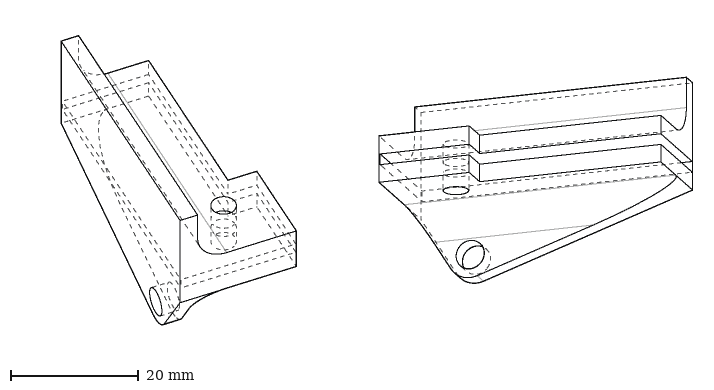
import cadquery as cq
import math

length = 45.0
depth = 20.0
height = 29.05
plate_thickness = 3.0

flange_top = -10.0
flange_bottom = -17.65
flange_depth = 15.05
tab_length = 15.0
fillet_radius = 5.0

slot_top = -13.0
slot_width = 1.75
slot_skin = 0.22

pivot_x = 35.8
pivot_diameter = 4.65
corner_radius = 3.8
pivot_z = corner_radius - height
bolt_x = 35.0
bolt_y = 12.0
bolt_diameter = 4.0


def tangent_point(corner_x, side):
    """Point where the edge from a plate corner touches the rounded lower corner.

    side is -1 for the left corner and 1 for the right corner.
    """
    dx = corner_x - pivot_x
    dz = flange_bottom - pivot_z
    angle = math.atan2(dz, dx) - side * math.acos(corner_radius / math.hypot(dx, dz))
    return (
        pivot_x + corner_radius * math.cos(angle),
        pivot_z + corner_radius * math.sin(angle),
    )


def make_plate(thickness):
    return (
        cq.Workplane("XZ")
        .moveTo(0, 0)
        .lineTo(0, flange_bottom)
        .lineTo(*tangent_point(0, -1))
        .threePointArc((pivot_x, -height), tangent_point(length, 1))
        .lineTo(length, flange_bottom)
        .lineTo(length, 0)
        .close()
        .extrude(-thickness)
    )


def make_flange():
    tab_start = length - tab_length
    return (
        cq.Workplane("XY", origin=(0, 0, flange_bottom))
        .polyline([
            (0, 0),
            (length, 0),
            (length, depth),
            (tab_start, depth),
            (tab_start, flange_depth),
            (0, flange_depth),
        ])
        .close()
        .extrude(flange_top - flange_bottom)
    )


def make_fillet(flange_face, direction):
    """Concave web between plate and flange; direction is 1 above the flange, -1 below."""
    far_y = plate_thickness + fillet_radius
    far_z = flange_face + direction * fillet_radius
    bend = fillet_radius * math.sqrt(0.5)
    return (
        cq.Workplane("YZ")
        .moveTo(plate_thickness, flange_face)
        .lineTo(far_y, flange_face)
        .threePointArc((far_y - bend, far_z - direction * bend), (plate_thickness, far_z))
        .close()
        .extrude(length)
    )


plate = make_plate(plate_thickness)
lower_fillet = make_fillet(flange_bottom, -1).intersect(make_plate(depth))

slot = (
    cq.Workplane("XY", origin=(0, slot_skin, slot_top - slot_width))
    .box(length - slot_skin, depth - slot_skin, slot_width, centered=False)
)
pivot_hole = (
    cq.Workplane("XZ").center(pivot_x, pivot_z).circle(pivot_diameter / 2).extrude(-depth)
)
bolt_hole = (
    cq.Workplane("XY").center(bolt_x, bolt_y).circle(bolt_diameter / 2).extrude(-height)
)

result = (
    plate.union(make_flange())
    .union(make_fillet(flange_top, 1))
    .union(lower_fillet)
    .cut(slot)
    .cut(pivot_hole)
    .cut(bolt_hole)
)